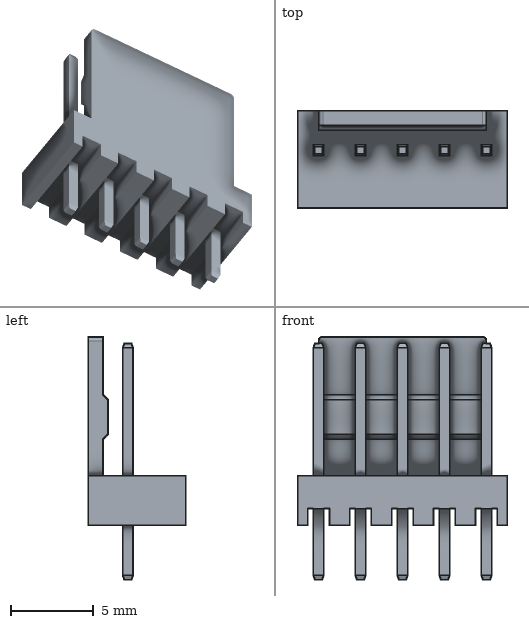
import cadquery as cq

pin_count = 5
pitch = 2.54
pin_size = 0.64
pin_top = 11.0
pin_bottom = -3.3
tip_length = 0.275
tip_inset = 0.1

base_width = pin_count * pitch
base_height = 3.0
back_y = 2.4
base_depth = 5.9
front_y = back_y - base_depth

slot_width = 1.3
slot_depth = 1.0

wall_width = (pin_count - 1) * pitch
wall_thickness = 0.9
wall_top = 11.4
wall_corner_radius = 0.25

ridge_projection = 0.3
ridge_bottom = base_height + 2.2
ridge_top = base_height + 4.9

pin_positions = [(i - (pin_count - 1) / 2) * pitch for i in range(pin_count)]


def make_base():
    """Rectangular block with a front-to-back slot below each pin."""
    base_center_y = (front_y + back_y) / 2
    base = cq.Workplane("XY").center(0, base_center_y)
    base = base.rect(base_width, base_depth).extrude(base_height)
    slots = cq.Workplane("XY").pushPoints([(x, base_center_y) for x in pin_positions])
    slots = slots.rect(slot_width, base_depth).extrude(slot_depth)
    return base.cut(slots)


def make_wall():
    """Upright wall with a ridge along its front and rounded top corners."""
    face_y = back_y - wall_thickness
    ridge_y = face_y - ridge_projection
    profile = [
        (back_y, base_height),
        (back_y, wall_top),
        (face_y, wall_top),
        (face_y, ridge_top),
        (ridge_y, ridge_top - ridge_projection),
        (ridge_y, ridge_bottom + ridge_projection),
        (face_y, ridge_bottom),
        (face_y, base_height),
    ]
    wall = cq.Workplane("YZ").polyline(profile).close().extrude(wall_width / 2, both=True)
    top_corners = wall.faces(">Z").edges("|Y")
    return top_corners.fillet(wall_corner_radius)


def make_tip(x, shoulder_z, end_z):
    """Square taper from the full pin section to the smaller end face."""
    end_size = pin_size - 2 * tip_inset
    tip = cq.Workplane("XY", origin=(x, 0, shoulder_z)).rect(pin_size, pin_size)
    return tip.workplane(offset=end_z - shoulder_z).rect(end_size, end_size).loft()


def make_pin(x):
    """Square pin with a tapered tip at each end."""
    lower_shoulder = pin_bottom + tip_length
    upper_shoulder = pin_top - tip_length
    shank = cq.Workplane("XY", origin=(x, 0, lower_shoulder)).rect(pin_size, pin_size)
    shank = shank.extrude(upper_shoulder - lower_shoulder)
    lower_tip = make_tip(x, lower_shoulder, pin_bottom)
    upper_tip = make_tip(x, upper_shoulder, pin_top)
    return shank.union(lower_tip).union(upper_tip)


result = make_base().union(make_wall())
for pin_x in pin_positions:
    result = result.union(make_pin(pin_x))